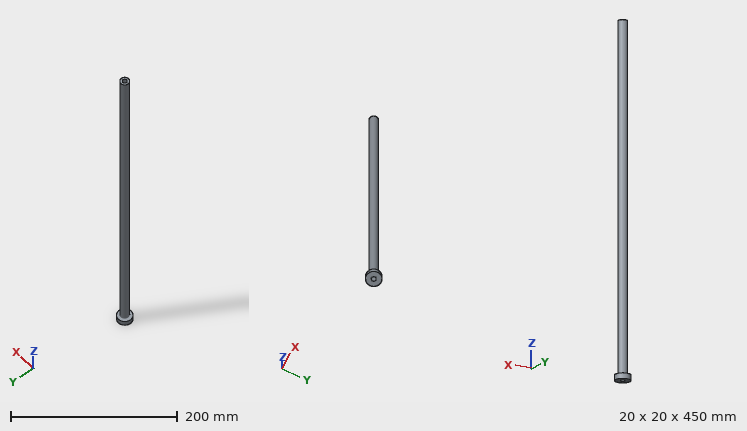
import cadquery as cq

total_length = 450.0
head_diameter = 20.0
head_height = 7.0
shank_diameter = 12.0
bore_diameter = 6.0
head_root_fillet = 0.5


def make_cylinder(diameter, height):
    """Upright cylinder on the Z axis, starting at Z = 0."""
    return cq.Workplane("XY").circle(diameter / 2).extrude(height)


def make_body():
    """Solid shank rising from a wider cylindrical head."""
    head = make_cylinder(head_diameter, head_height)
    shank = make_cylinder(shank_diameter, total_length)
    return head.union(shank)


def round_head_root(body):
    """Fillet the inside corner where the shank meets the top of the head."""
    head_top = body.faces(cq.selectors.NearestToPointSelector((0, 0, head_height)))
    root_edge = head_top.edges(cq.selectors.RadiusNthSelector(0))
    return root_edge.fillet(head_root_fillet)


def cut_bore(body):
    """Cut the bore through the full length of the sleeve."""
    return body.cut(make_cylinder(bore_diameter, total_length))


body = make_body()
body = round_head_root(body)
result = cut_bore(body)